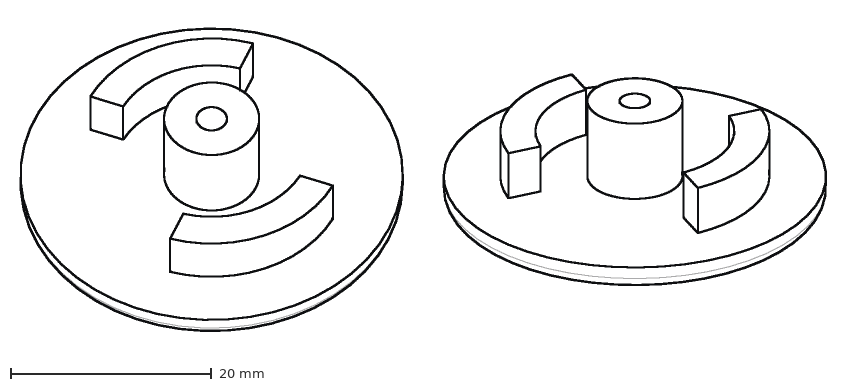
import cadquery as cq

disc_diameter = 38.1
disc_thickness = 2.5
bottom_edge_radius = 1.25

total_height = 11.05
hub_diameter = 9.5
bore_diameter = 3.05

wall_top = 7.62
wall_outer_radius = 13.4
wall_inner_radius = 9.9
wall_end_offset = 0.9


def make_disc():
    disc = cq.Workplane("XY").circle(disc_diameter / 2).extrude(disc_thickness)
    return disc.faces("<Z").edges().fillet(bottom_edge_radius)


def make_wall(x_side, y_side):
    """Ring trimmed to one quadrant, with end faces parallel to the X and Y axes."""
    ring = (
        cq.Workplane("XY")
        .circle(wall_outer_radius)
        .circle(wall_inner_radius)
        .extrude(wall_top)
    )
    quadrant_center = wall_end_offset + wall_outer_radius / 2
    quadrant = (
        cq.Workplane("XY")
        .center(x_side * quadrant_center, y_side * quadrant_center)
        .rect(wall_outer_radius, wall_outer_radius)
        .extrude(wall_top)
    )
    return ring.intersect(quadrant)


hub = cq.Workplane("XY").circle(hub_diameter / 2).extrude(total_height)
bore = cq.Workplane("XY").circle(bore_diameter / 2).extrude(total_height)

result = make_disc().union(hub)
for x_side, y_side in ((-1, 1), (1, -1)):
    result = result.union(make_wall(x_side, y_side))
result = result.cut(bore)